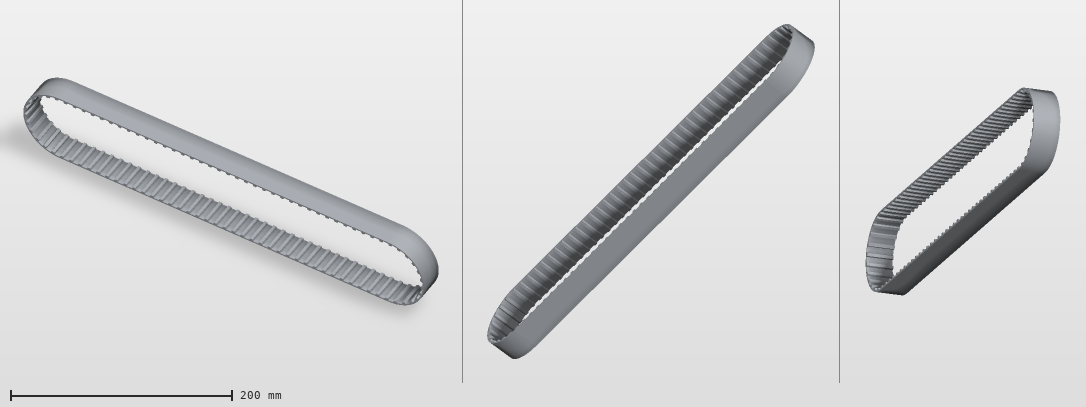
import cadquery as cq
import math

belt_length = 423.2
belt_height = 76.0
belt_width = 25.5
tooth_count = 97
back_thickness = 1.52
tooth_height = 1.9
tooth_root_width = 4.2
flank_angle = 20.0
tooth_overlap = 0.5
first_tooth_offset = 6.5

outer_radius = belt_height / 2
straight_length = belt_length - belt_height
half_straight = straight_length / 2
root_radius = outer_radius - back_thickness
end_arc_length = math.pi * root_radius
half_loop_length = straight_length + end_arc_length
tooth_pitch = 2 * half_loop_length / tooth_count
tooth_tip_width = tooth_root_width - 2 * tooth_height * math.tan(math.radians(flank_angle))


def belt_back():
    """Smooth outer band: two straight runs joined by half-round ends."""
    inner_height = belt_height - 2 * back_thickness
    inner_length = belt_length - 2 * back_thickness
    return (
        cq.Workplane("XZ")
        .slot2D(belt_length, belt_height)
        .slot2D(inner_length, inner_height)
        .extrude(belt_width / 2, both=True)
    )


def path_location(distance):
    """Point (x, z) and outward angle on the tooth root line, clockwise from the top-left tangent."""
    turns, along = divmod(distance, half_loop_length)
    if along <= straight_length:
        x = along - half_straight
        z = root_radius
        angle = 90.0
    else:
        angle = 90.0 - math.degrees((along - straight_length) / root_radius)
        x = half_straight + root_radius * math.cos(math.radians(angle))
        z = root_radius * math.sin(math.radians(angle))
    if turns % 2:
        return -x, -z, angle + 180.0
    return x, z, angle


def tooth(distance):
    """Trapezoidal tooth pointing into the loop, sunk slightly into the back for a clean union."""
    x, z, angle = path_location(distance)
    half_root = tooth_root_width / 2
    half_tip = tooth_tip_width / 2
    profile = [
        (half_root, tooth_overlap),
        (half_root, 0),
        (half_tip, -tooth_height),
        (-half_tip, -tooth_height),
        (-half_root, 0),
        (-half_root, tooth_overlap),
    ]
    return (
        cq.Workplane("XZ")
        .polyline(profile)
        .close()
        .extrude(belt_width / 2, both=True)
        .rotate((0, 0, 0), (0, 1, 0), 90.0 - angle)
        .translate((x, 0, z))
        .val()
    )


teeth = [tooth(first_tooth_offset + index * tooth_pitch) for index in range(tooth_count)]
result = cq.Workplane(belt_back().val().fuse(*teeth).clean())